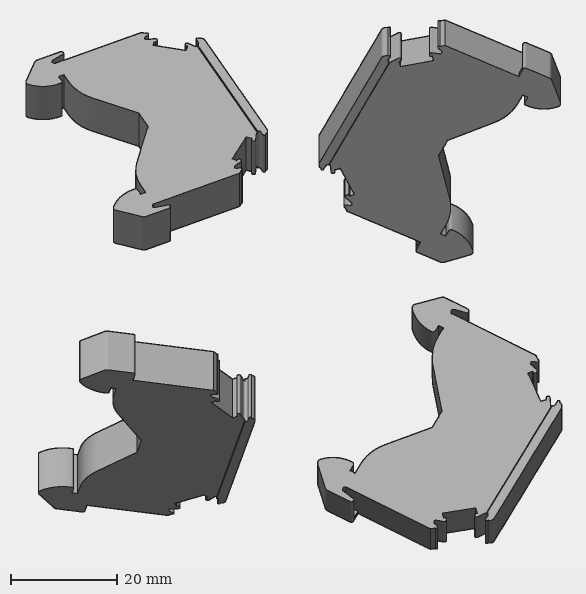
import cadquery as cq
import math

half_width = 23.0
height = 35.0
rail_thickness = 10.0
body_thickness = 9.0

rail_bottom = 33.15
rail_half_width = 13.2

body_half_width = 20.7
arch_half_flat = 1.95
arch_top = 15.45
arch_base = 7.3
arch_radius = 9.2
arch_angle = math.radians(39)

foot_top = 9.85
hook_top = 6.25
hook_inner = 15.55
hook_corner = 0.45
notch_x = 17.3
tip_x = 18.5
tip_half_width = 0.5
tip_rise = 0.2
foot_side_bottom = 4.55
foot_bend_radius = 0.95
foot_corner = 0.45
foot_bevel = math.radians(45)

slot_bottom = 6.85
slot_bottom_width = 0.95
slot_top_width = 1.5
slot_end_rise = 0.35
slot_floor = 1.0


def trace_arch(outline):
    """Arch from the centre plane down to the notch above the hook."""
    drop = arch_radius * (1 - math.cos(arch_angle))
    run = arch_radius * math.sin(arch_angle)
    bend_y = arch_base + drop
    bend_x = arch_half_flat + (arch_top - bend_y) / math.tan(arch_angle)
    bend_end_x = bend_x + run
    middle_x = bend_end_x - arch_radius * math.sin(arch_angle / 2)
    middle_y = arch_base + arch_radius * (1 - math.cos(arch_angle / 2))
    return (
        outline.lineTo(arch_half_flat, arch_top)
        .lineTo(bend_x, bend_y)
        .threePointArc((middle_x, middle_y), (bend_end_x, arch_base))
        .lineTo(notch_x, arch_base)
    )


def trace_foot(outline):
    """Hooked foot, from the notch round the tip to the side of the body."""
    return (
        outline.lineTo(notch_x, hook_top)
        .lineTo(hook_inner + hook_corner, hook_top)
        .threePointArc(
            (hook_inner + hook_corner * (1 - math.sqrt(0.5)),
             hook_top - hook_corner * (1 - math.sqrt(0.5))),
            (hook_inner, hook_top - hook_corner),
        )
        .threePointArc((16.15, 2.7), (tip_x - tip_half_width, tip_rise))
        .threePointArc((tip_x, 0), (tip_x + tip_half_width, tip_rise))
        .lineTo(
            half_width - foot_bend_radius * (1 - math.cos(foot_bevel)),
            foot_side_bottom - foot_bend_radius * math.sin(foot_bevel),
        )
        .threePointArc(
            (half_width - foot_bend_radius * (1 - math.cos(foot_bevel / 2)),
             foot_side_bottom - foot_bend_radius * math.sin(foot_bevel / 2)),
            (half_width, foot_side_bottom),
        )
        .lineTo(half_width, foot_top - foot_corner)
        .threePointArc(
            (half_width - foot_corner * (1 - math.sqrt(0.5)),
             foot_top - foot_corner * (1 - math.sqrt(0.5))),
            (half_width - foot_corner, foot_top),
        )
        .lineTo(body_half_width, foot_top)
    )


def trace_shoulder(outline):
    """Two rounded teeth on the shoulder, then the sloping flank."""
    return (
        outline.lineTo(body_half_width, 25.4)
        .lineTo(20.1, 26.15)
        .threePointArc((19.83, 26.45), (19.55, 26.2))
        .lineTo(19.3, 25.5)
        .threePointArc((18.95, 25.25), (18.6, 25.5))
        .lineTo(18.15, 26.75)
        .threePointArc((17.7, 27.2), (17.3, 26.7))
        .lineTo(17.45, 26.4)
        .lineTo(16.7, 25.85)
        .lineTo(12.75, 30.77)
    )


def trace_rail_end(outline):
    """Hooked lip, rounded groove and rail bead at the end of the rail."""
    return (
        outline.lineTo(13.52, 31.55)
        .lineTo(13.85, 31.33)
        .threePointArc((14.35, 31.55), (14.25, 31.95))
        .lineTo(13.0, 32.75)
        .threePointArc((12.75, rail_bottom), (13.1, 33.63))
        .lineTo(14.05, 33.63)
        .threePointArc((14.3, 33.8), (14.08, 34.15))
        .lineTo(14.0, 34.4)
        .threePointArc((13.65, 34.8), (rail_half_width, height))
        .lineTo(0, height)
    )


def half_profile(thickness):
    outline = cq.Workplane("XY").workplane(offset=-thickness / 2).moveTo(0, arch_top)
    outline = trace_arch(outline)
    outline = trace_foot(outline)
    outline = trace_shoulder(outline)
    outline = trace_rail_end(outline)
    return outline.close().extrude(thickness)


def relief_slot():
    """Tapered slot with a round end, open upwards and blind at the -Z face."""
    narrow_x = body_half_width + slot_bottom_width
    slot = (
        cq.Workplane("XY")
        .workplane(offset=slot_floor - body_thickness / 2)
        .moveTo(body_half_width, foot_top)
        .lineTo(body_half_width, slot_bottom + slot_end_rise)
        .threePointArc(
            (body_half_width + slot_bottom_width / 2, slot_bottom),
            (narrow_x, slot_bottom + slot_end_rise),
        )
        .lineTo(body_half_width + slot_top_width, foot_top)
        .close()
    )
    return slot.extrude(body_thickness)


rail_zone = cq.Workplane("XY").box(
    half_width, height - rail_bottom, rail_thickness, centered=(False, False, True)
).translate((0, rail_bottom, 0))

rail = half_profile(rail_thickness).intersect(rail_zone)
right_half = half_profile(body_thickness).cut(relief_slot()).union(rail)
result = right_half.union(right_half.mirror("YZ")).clean()